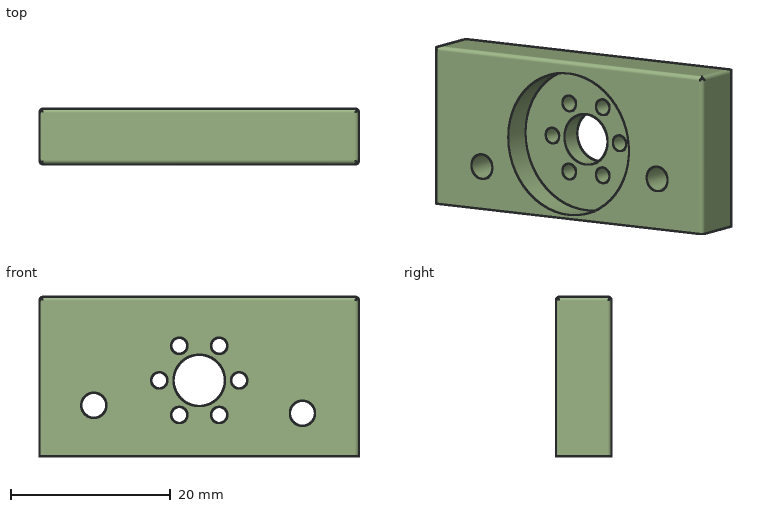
import cadquery as cq

length = 40
thickness = 7.0
height = length / 2
edge_radius = 0.5

bore_z = 9.5
bore_diameter = 6.4
pocket_diameter = 18
front_wall = 3.0

screw_count = 6
screw_diameter = 2
screw_circle_diameter = 10

mount_diameter = 3.1
mount_places = [(-13.2, 6.4), (12.9, 5.4)]

front_y = -thickness / 2


def front_plane(x=0, z=0, depth=0):
    """Plane parallel to the front face, set back by depth, with its normal into the block."""
    return cq.Plane(origin=(x, front_y + depth, z), xDir=(1, 0, 0), normal=(0, 1, 0))


def through_hole(x, z, diameter):
    return cq.Workplane(front_plane(x, z)).circle(diameter / 2).extrude(thickness)


def plain_block():
    return cq.Workplane("XY").box(length, thickness, height, centered=(True, True, False))


upright_rounded = plain_block().edges("|Z").fillet(edge_radius)
top_sides_rounded = plain_block().edges("|Y and >Z").fillet(edge_radius)
top_front_back_rounded = plain_block().edges("|X and >Z").fillet(edge_radius)
block = upright_rounded.intersect(top_sides_rounded).intersect(top_front_back_rounded)

bore = through_hole(0, bore_z, bore_diameter)
pocket_depth = thickness - front_wall
pocket = (
    cq.Workplane(front_plane(0, bore_z, front_wall))
    .circle(pocket_diameter / 2)
    .extrude(pocket_depth)
)

screw_holes = (
    cq.Workplane(front_plane(0, bore_z))
    .polarArray(screw_circle_diameter / 2, 0, 360, screw_count)
    .circle(screw_diameter / 2)
    .extrude(thickness)
)

result = block.cut(bore).cut(pocket).cut(screw_holes)

for mount_x, mount_z in mount_places:
    result = result.cut(through_hole(mount_x, mount_z, mount_diameter))